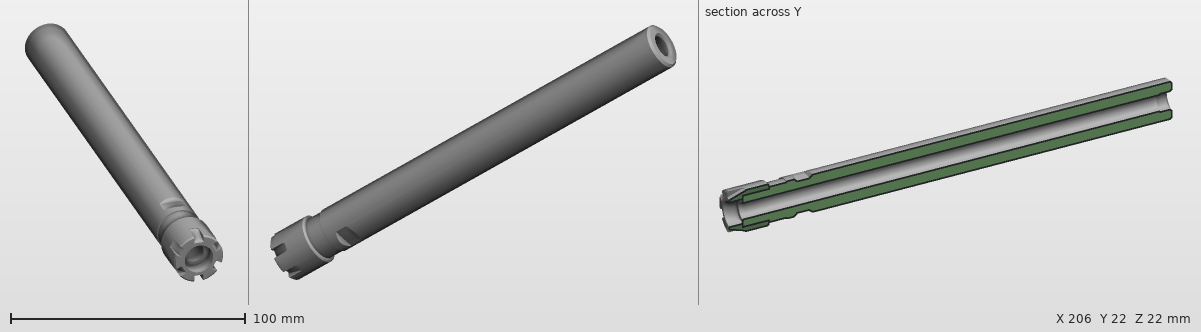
import cadquery as cq

total_length = 206.0
nut_length = 18.5
neck_length = 8.0
nut_start = total_length - nut_length
neck_start = nut_start - neck_length

shank_diameter = 20.0
neck_diameter = 19.0
end_chamfer_depth = 1.0
end_chamfer_length = 1.0
spigot_diameter = 17.0
spigot_length = 12.4
bore_diameter = 8.5
rear_hole_diameter = 9.5
rear_hole_depth = 5.5
rear_chamfer = 1.0

flat_distance = 17.0
flat_floor_length = 5.5
flat_center = 171.7

nut_diameter = 22.0
nut_rear_chamfer = 0.6
nut_front_chamfer = 0.6
nut_mouth_diameter = 12.8
slot_count = 6
slot_width = 4.1
slot_length = 7.6
slot_corner_radius = 1.0
slot_inner_floor_radius = 10.7
slot_front_floor_radius = 7.8


def revolve_about_x(points):
    """Turn an outline of (x, radius) points about the X axis."""
    return cq.Workplane("XY").polyline(points).close().revolve(360, (0, 0, 0), (1, 0, 0))


def make_flat_cutter():
    """Trapezoid prism that cuts the upper wrench flat."""
    floor = flat_distance / 2
    top = nut_diameter / 2
    half_floor = flat_floor_length / 2
    half_top = half_floor + top - floor
    return (
        cq.Workplane("XZ")
        .polyline([
            (flat_center - half_floor, floor),
            (flat_center + half_floor, floor),
            (flat_center + half_top, top),
            (flat_center - half_top, top),
        ])
        .close()
        .extrude(shank_diameter / 2, both=True)
    )


def make_shank():
    shank_radius = shank_diameter / 2
    neck_radius = neck_diameter / 2
    spigot_radius = spigot_diameter / 2
    bore_radius = bore_diameter / 2
    rear_radius = rear_hole_diameter / 2
    spigot_end = nut_start + spigot_length
    shank = revolve_about_x([
        (0, rear_radius + rear_chamfer),
        (0, shank_radius - end_chamfer_depth),
        (end_chamfer_length, shank_radius),
        (neck_start, shank_radius),
        (neck_start, neck_radius),
        (nut_start, neck_radius),
        (nut_start, spigot_radius),
        (spigot_end, spigot_radius),
        (spigot_end, bore_radius),
        (rear_hole_depth, bore_radius),
        (rear_hole_depth, rear_radius),
        (rear_chamfer, rear_radius),
    ])
    upper_flat = make_flat_cutter()
    lower_flat = upper_flat.mirror("XY")
    return shank.cut(upper_flat).cut(lower_flat)


def make_slot_cutter():
    """Wrench slot on top of the nut, with a flat floor that slopes down towards the front."""
    slot_start = total_length - slot_length
    top = nut_diameter / 2 + slot_width
    return (
        cq.Workplane("XZ")
        .polyline([
            (slot_start, slot_inner_floor_radius),
            (total_length, slot_front_floor_radius),
            (total_length, top),
            (slot_start, top),
        ])
        .close()
        .extrude(slot_width / 2, both=True)
        .edges("|Z and <X")
        .fillet(slot_corner_radius)
    )


def make_nut():
    nut_radius = nut_diameter / 2
    spigot_radius = spigot_diameter / 2
    mouth_radius = nut_mouth_diameter / 2
    spigot_end = nut_start + spigot_length
    nut = revolve_about_x([
        (nut_start, spigot_radius),
        (nut_start, nut_radius - nut_rear_chamfer),
        (nut_start + nut_rear_chamfer, nut_radius),
        (total_length - nut_front_chamfer, nut_radius),
        (total_length, nut_radius - nut_front_chamfer),
        (total_length, mouth_radius),
        (spigot_end, mouth_radius),
        (spigot_end, spigot_radius),
    ])
    slot = make_slot_cutter()
    for index in range(slot_count):
        angle = index * 360 / slot_count
        nut = nut.cut(slot.rotate((0, 0, 0), (1, 0, 0), angle))
    return nut


shank = make_shank()
nut = make_nut()
result = cq.Compound.makeCompound([shank.val(), nut.val()])